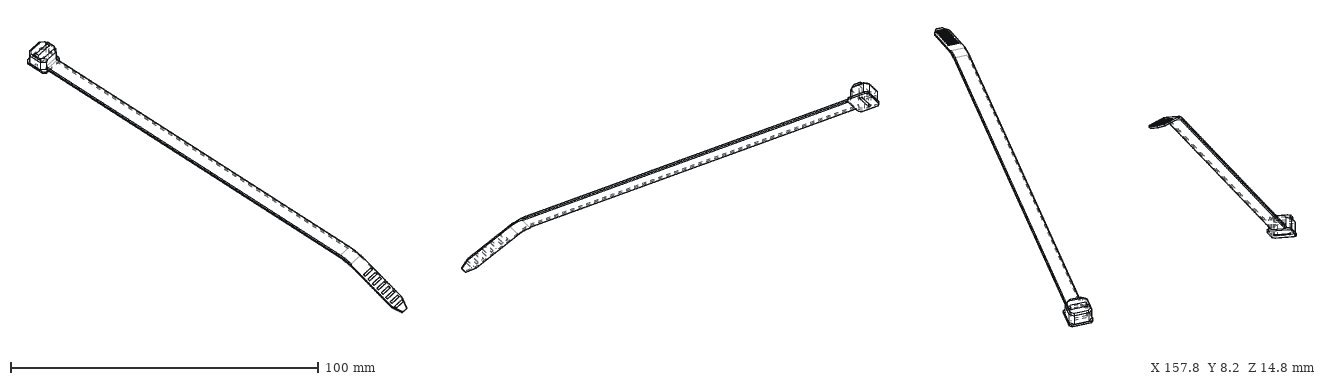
import cadquery as cq
import math

total_length = 157.8
head_width = 8.2
total_height = 14.8

flange_length = 8.0
flange_height = 0.8
flange_corner = 0.8
block_inset = 0.2
block_end = 7.4
block_height = 5.0
block_corner = 1.4
block_top_chamfer_height = 0.5
block_top_chamfer_inset = 0.6
head_height = 5.7
pad_start = 2.8
pad_width = 7.1
pad_end_corner = 1.3
pad_end_chamfer_height = 0.5
pad_end_chamfer_inset = 1.1

slot_start = 2.8
slot_bottom_end = 3.8
slot_top_end = 4.3
slot_width = 5.5
pawl_face_bottom = 2.4

strap_width = 5.2
strap_bottom = 0.5
strap_thickness = 1.3
strap_edge_chamfer = 0.3
root_radius = 0.6

tail_angle = math.radians(24)
tail_thickness = 0.6
bend_tangent = 2.4
tip_length = 3.5
tip_width = 2.0

rib_count = 8
rib_start = 141.4
rib_pitch = 1.9
rib_length = 0.8
rib_height = 0.2
rib_width = 3.6

strap_top = strap_bottom + strap_thickness
strap_start = (slot_top_end + block_end) / 2
tail_slope = math.tan(tail_angle)
tail_rise_x = tail_thickness * math.sin(tail_angle)
tail_rise_z = tail_thickness * math.cos(tail_angle)

tip_bottom_x = total_length - tail_rise_x
tip_bottom_z = head_height - total_height
tip_top_z = tip_bottom_z + tail_rise_z

upper_knee = total_length - (strap_top - tip_top_z) / tail_slope
lower_knee = tip_bottom_x - (strap_bottom - tip_bottom_z) / tail_slope

bend_run = bend_tangent * math.cos(tail_angle)
bend_radius = bend_tangent / math.tan(tail_angle / 2)
bend_drop = bend_tangent * math.sin(tail_angle)
upper_bend_start = (upper_knee - bend_tangent, strap_top)
upper_bend_end = (upper_knee + bend_run, strap_top - bend_drop)
lower_bend_start = (lower_knee - bend_tangent, strap_bottom)
lower_bend_end = (lower_knee + bend_run, strap_bottom - bend_drop)


def chamfered_block(start, end, width, height, corner, corner_edges="|Z"):
    """Block standing on Z = 0, from start to end in X, with chamfered upright edges."""
    block = cq.Workplane("XY").box(end - start, width, height, centered=(False, True, False))
    return block.edges(corner_edges).chamfer(corner).translate((start, 0, 0))


def make_head():
    flange = chamfered_block(0, flange_length, head_width, flange_height, flange_corner)
    block_width = head_width - 2 * block_inset
    block = chamfered_block(block_inset, block_end, block_width, block_height, block_corner)
    block = block.faces(">Z").chamfer(block_top_chamfer_height, block_top_chamfer_inset)
    pad = chamfered_block(pad_start, block_end, pad_width, head_height, pad_end_corner, "|Z and >X")
    pad_end_edges = pad.faces(">Z").edges("not (<X or |X)")
    pad = pad_end_edges.chamfer(pad_end_chamfer_height, pad_end_chamfer_inset)
    return flange.union(block).union(pad)


def make_slot():
    return (
        cq.Workplane("XZ")
        .moveTo(slot_start, 0)
        .lineTo(slot_bottom_end, 0)
        .lineTo(slot_bottom_end, pawl_face_bottom)
        .lineTo(slot_top_end, head_height)
        .lineTo(slot_start, head_height)
        .close()
        .extrude(slot_width / 2, both=True)
    )


def make_strap_root():
    """Hollow fillet where the strap leaves the head."""
    root_end = block_end + root_radius
    return (
        cq.Workplane("XZ")
        .moveTo(strap_start, strap_top)
        .lineTo(root_end, strap_top)
        .radiusArc((block_end, strap_top + root_radius), root_radius)
        .lineTo(strap_start, strap_top + root_radius)
        .close()
        .extrude(strap_width / 2 - strap_edge_chamfer, both=True)
    )


def make_tip_corner(side):
    """Wedge that tapers one side of the tail towards its tip."""
    edge = side * strap_width / 2
    return (
        cq.Workplane("XY", origin=(0, 0, tip_bottom_z))
        .moveTo(total_length - tip_length, edge)
        .lineTo(total_length, side * tip_width / 2)
        .lineTo(total_length, edge)
        .close()
        .extrude(total_height)
    )


def make_strap():
    """Level strap with chamfered long edges that thins as it bends down."""
    level_length = lower_bend_start[0] - strap_start
    lower_half = (
        cq.Workplane("XY", origin=(strap_start, 0, strap_bottom))
        .box(level_length, strap_width, strap_thickness / 2, centered=(False, True, False))
        .faces("<Z")
        .edges("|X")
        .chamfer(strap_edge_chamfer)
    )
    upper_half = (
        cq.Workplane("XZ")
        .moveTo(strap_start, strap_top)
        .lineTo(*upper_bend_start)
        .radiusArc(upper_bend_end, bend_radius)
        .lineTo(*lower_bend_end)
        .radiusArc(lower_bend_start, -bend_radius)
        .lineTo(lower_bend_start[0], strap_bottom + strap_thickness / 2)
        .lineTo(strap_start, strap_bottom + strap_thickness / 2)
        .close()
        .extrude(strap_width / 2, both=True)
    )
    upper_half = upper_half.faces(">Z").edges("|X").chamfer(strap_edge_chamfer)
    return lower_half.union(upper_half)


def make_tail():
    tail = (
        cq.Workplane("XZ")
        .moveTo(*upper_bend_end)
        .lineTo(total_length, tip_top_z)
        .lineTo(tip_bottom_x, tip_bottom_z)
        .lineTo(*lower_bend_end)
        .close()
        .extrude(strap_width / 2, both=True)
    )
    return tail.cut(make_tip_corner(-1)).cut(make_tip_corner(1))


def make_rib(x):
    """Rib standing on the tail's upper face, its lower uphill corner at x on the underside."""
    height = tail_thickness + rib_height
    rib = cq.Workplane("XY").box(rib_length, rib_width, height, centered=(False, True, False))
    rib = rib.rotate((0, 0, 0), (0, 1, 0), math.degrees(tail_angle))
    return rib.translate((x, 0, tip_bottom_z + (tip_bottom_x - x) * tail_slope))


result = make_head().cut(make_slot()).union(make_strap_root())
result = result.union(make_strap()).union(make_tail())
for index in range(rib_count):
    result = result.union(make_rib(rib_start + index * rib_pitch))